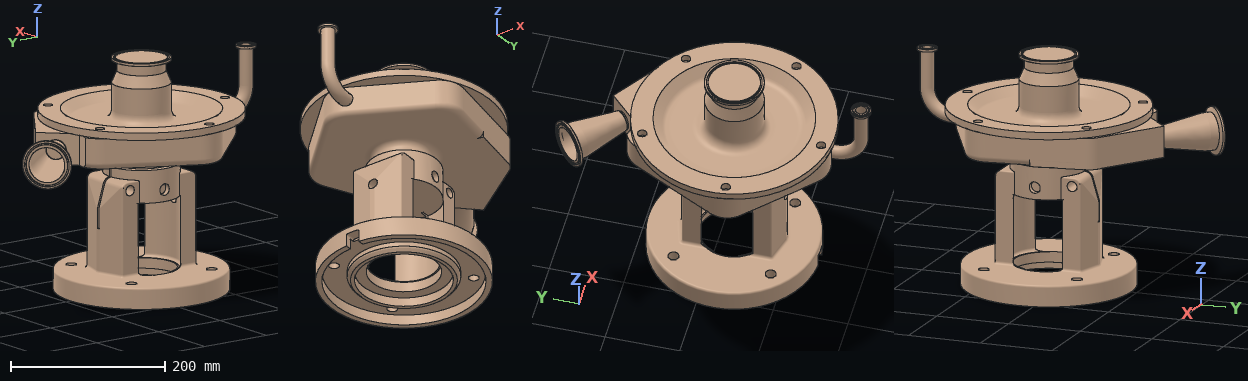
import cadquery as cq
import math

overlap = 4.0
margin = 0.5

base_radius = 115.0
base_height = 29.0
base_edge_fillet = 3.5
base_bore_radius = 49.0
recess_radius = 106.5
recess_depth = 15.0
ring_inner_radius = 64.0
ring_outer_radius = 74.0
ring_bottom = 2.0
ring_bevel_middle = 5.8
ring_bevel_top = 8.2
ring_bevel_middle_radius = 72.8
ring_bottom_radius = 69.5
base_hole_circle = 92.0
base_hole_diameter = 14.0
base_hole_count = 4
first_base_hole_angle = 45
slot_width = 19.7
slot_length = 16.5
slot_height = 18.0
slot_corner_fillet = 2.0

leg_half_width = 77.5 / 2
leg_top = 157.0
leg_bore_radius = 51.8
leg_nose_y = 70.3
leg_nose_half_width = 3.3
leg_nose_top = 117.5
leg_taper = math.tan(math.radians(16.5))
leg_side_fillet = 2.5
leg_top_fillet = 11.5
leg_foot_fillet = 5.0
front_hole_diameter = 14.0
front_hole_z = 114.3

collar_radius = 50.5
collar_bottom = 126.0
collar_top = 170.0
set_screw_diameter = 15.2
set_screw_depth = 8.2
set_screw_z = 142.2
clamp_hole_diameter = 13.5
clamp_hole_y = 47.5
clamp_hole_z = 145.5
clamp_slit_width = 3.0
clamp_slit_bottom = 90.5

neck_radius = 41.5
neck_fillet = 10.0
casing_bottom = 189.0
casing_inradius = 115.5
casing_corner_radius = 35.0
casing_bottom_fillet = 8.5
casing_corner_shift = 12.5
plate_radius = 270.0 / 2
plate_bottom = 231.5
plate_top = 241.3
plate_hole_circle = 245.5 / 2
plate_hole_diameter = 12.0
first_corner_angle = 45
corner_count = 5

dish_radius = 105.5
dish_floor_radius = 83.0
dish_floor = 225.0
dish_wall_angle = 45
dish_wall_fillet = 14.5
inlet_radius = 39.0
inlet_root_fillet = 15.2
inlet_shoulder_bottom = 276.2
inlet_shoulder_top = 292.3
inlet_neck_radius = 32.0
inlet_flange_radius = 39.0
inlet_top = 310.0
flange_thickness = 3.3
flange_back_taper = 2.0
inlet_groove_radius = 34.0
groove_width = 2.0
groove_depth = 1.2

outlet_angle = 135
outlet_offset = 96.5
outlet_z = 209.2
block_face = 109.8
block_corner = (9.5, 165.0)
block_shoulder = (101.0, 99.5)
block_shoulder_fillet = 22.5
cutwater_tip = (-54.5, 131.0)
cutwater_root = (-31.2, 124.0)
outlet_neck_radius = 12.7
outlet_cone_start = 112.2
outlet_small_radius = 14.0
outlet_pipe_start = 177.0
outlet_pipe_radius = 25.0
outlet_end = 194.0
outlet_flange_radius = 32.0
outlet_wall = 1.5
outlet_groove_radius = 27.0

vent_y = -169.8
vent_top = 301.5
vent_radius = 9.5
vent_bore_radius = 7.0
vent_axis_z = 212.5
vent_bend_radius = 35.0
vent_flange_radius = 13.0
vent_groove_radius = 9.0
vent_embed_y = -127.5
vent_bore_end_y = -133.5


def polar(radius, angle):
    return (radius * math.cos(math.radians(angle)), radius * math.sin(math.radians(angle)))


def cylinder(radius, bottom, top):
    return cq.Workplane("XY").workplane(offset=bottom).circle(radius).extrude(top - bottom)


def revolve_about_z(points):
    return cq.Workplane("XZ").polyline(points).close().revolve(360, (0, 0), (0, 1))


def ring_groove(inner_radius, face):
    ring = cq.Workplane("XY").workplane(offset=face - groove_depth)
    return ring.circle(inner_radius + groove_width).circle(inner_radius).extrude(groove_depth)


def make_leg():
    """The +Y leg: tapered to a narrow nose toward both sides and toward the top."""
    side_y = leg_nose_y - leg_taper * (leg_half_width - leg_nose_half_width)
    top_y = leg_nose_y - leg_taper * (leg_top - leg_nose_top)
    foot = base_height - overlap
    plan = [
        (-leg_half_width, 0),
        (leg_half_width, 0),
        (leg_half_width, side_y),
        (leg_nose_half_width, leg_nose_y),
        (-leg_nose_half_width, leg_nose_y),
        (-leg_half_width, side_y),
    ]
    profile = [(0, foot), (leg_nose_y, foot), (leg_nose_y, leg_nose_top), (top_y, leg_top), (0, leg_top)]
    leg = cq.Workplane("XY").workplane(offset=foot).polyline(plan).close().extrude(leg_top - foot)
    sloped = cq.Workplane("YZ").polyline(profile).close().extrude(leg_half_width, both=True)
    leg = leg.intersect(sloped)
    leg = leg.edges(cq.selectors.NearestToPointSelector((0, top_y, leg_top))).fillet(leg_top_fillet)
    for side in (-1, 1):
        corner = (side * leg_half_width, side_y, (foot + leg_nose_top) / 2)
        leg = leg.edges(cq.selectors.NearestToPointSelector(corner)).fillet(leg_side_fillet)
    reach = leg_half_width + margin
    top_sides = cq.selectors.BoxSelector(
        (-reach, 0, leg_top - margin), (reach, leg_nose_y, leg_top + margin), boundingbox=True
    )
    leg = leg.edges(top_sides).edges("|Y").fillet(leg_side_fillet)
    return leg.cut(cylinder(leg_bore_radius, 0, collar_bottom))


def make_bracket():
    base = cylinder(base_radius, 0, base_height).faces(">Z").edges().fillet(base_edge_fillet)
    leg = make_leg()
    bracket = base.union(leg).union(leg.mirror("XZ"))
    reach = leg_nose_y + 2 * leg_foot_fillet
    foot_box = cq.selectors.BoxSelector(
        (-reach, -reach, base_height - margin), (reach, reach, base_height + margin), boundingbox=True
    )
    bracket = bracket.edges(foot_box).fillet(leg_foot_fillet)
    return bracket.union(cylinder(collar_radius, collar_bottom, collar_top))


def cut_base(body):
    """Centre bore, bottom recess around a bevelled ring, four bolt holes and the slot through the rim."""
    body = body.cut(cylinder(base_bore_radius, 0, base_height))
    ring = revolve_about_z(
        [
            (ring_inner_radius, ring_bottom),
            (ring_bottom_radius, ring_bottom),
            (ring_bevel_middle_radius, ring_bevel_middle),
            (ring_outer_radius, ring_bevel_top),
            (ring_outer_radius, recess_depth),
            (ring_inner_radius, recess_depth),
        ]
    )
    body = body.cut(cylinder(recess_radius, 0, recess_depth).cut(ring))
    holes = cq.Workplane("XY").polarArray(base_hole_circle, first_base_hole_angle, 360, base_hole_count)
    body = body.cut(holes.circle(base_hole_diameter / 2).extrude(base_height))
    slot = cq.Workplane("XY").box(slot_width, slot_length, slot_height, centered=(True, False, False))
    slot = slot.edges("|Y and >Z").fillet(slot_corner_fillet)
    return body.cut(slot.translate((0, -base_radius, 0)))


def cut_clamp(body):
    """Nose hole in the -Y leg, clamp hole and slit in the +Y leg, set screws in the collar."""
    nose_hole = cq.Workplane("XZ").center(0, front_hole_z).circle(front_hole_diameter / 2)
    body = body.cut(nose_hole.extrude(leg_nose_y))
    clamp_hole = cq.Workplane("YZ").center(clamp_hole_y, clamp_hole_z).circle(clamp_hole_diameter / 2)
    body = body.cut(clamp_hole.extrude(leg_half_width, both=True))
    slit_length = leg_nose_y - neck_radius
    slit_height = collar_top - clamp_slit_bottom
    slit = cq.Workplane("XY").box(clamp_slit_width, slit_length, slit_height, centered=(True, False, False))
    body = body.cut(slit.translate((0, neck_radius, clamp_slit_bottom)))
    for side in (-1, 1):
        screw = cq.Workplane("YZ").workplane(offset=side * collar_radius).center(0, set_screw_z)
        body = body.cut(screw.circle(set_screw_diameter / 2).extrude(-side * set_screw_depth))
    return body


def make_casing():
    vertex_radius = casing_inradius / math.cos(math.pi / corner_count)
    step = 360 / corner_count
    vertices = [polar(vertex_radius, first_corner_angle + step * i) for i in range(corner_count)]
    shift = polar(casing_corner_shift, first_corner_angle + 1.5 * step - 90)
    vertices[1] = (vertices[1][0] + shift[0], vertices[1][1] + shift[1])
    casing = cq.Workplane("XY").workplane(offset=casing_bottom).polyline(vertices).close()
    casing = casing.extrude(plate_bottom - casing_bottom)
    casing = casing.edges("|Z").fillet(casing_corner_radius)
    return casing.faces("<Z").edges().fillet(casing_bottom_fillet)


def make_block(casing):
    """Adds the straight-walled discharge block and the notch of its cutwater."""
    height = plate_bottom - casing_bottom
    notch_corner = (cutwater_tip[0], block_corner[1])
    notch = [cutwater_tip, cutwater_root, block_corner, notch_corner]
    plane = cq.Workplane("XY").workplane(offset=casing_bottom)
    casing = casing.cut(plane.polyline(notch).close().extrude(height))
    last_corner = polar(casing_inradius, first_corner_angle - 180 / corner_count)
    block = plane.polyline([cutwater_root, (0, 0), last_corner, block_shoulder, block_corner]).close()
    block = block.extrude(height)
    shoulder = (*block_shoulder, casing_bottom + height / 2)
    block = block.edges(cq.selectors.NearestToPointSelector(shoulder)).fillet(block_shoulder_fillet)
    return casing.union(block)


def make_neck():
    flare = neck_radius + neck_fillet
    outline = cq.Workplane("XZ").moveTo(0, collar_top).lineTo(neck_radius, collar_top)
    outline = outline.lineTo(neck_radius, casing_bottom - neck_fillet)
    outline = outline.radiusArc((flare, casing_bottom), neck_fillet)
    outline = outline.lineTo(flare, casing_bottom + overlap).lineTo(0, casing_bottom + overlap).close()
    return outline.revolve(360, (0, 0), (0, 1))


def cut_plate(body):
    """Dish with a sloping wall rounded into its floor, and the five bolt holes."""
    slope = math.radians(dish_wall_angle)
    wall_end = dish_floor + dish_wall_fillet * (1 - math.cos(slope))
    wall_end_radius = dish_floor_radius + dish_wall_fillet * math.sin(slope)
    root_radius = inlet_radius + inlet_root_fillet
    dish = cq.Workplane("XZ").moveTo(dish_radius, plate_top).lineTo(wall_end_radius, wall_end)
    dish = dish.radiusArc((dish_floor_radius, dish_floor), dish_wall_fillet)
    dish = dish.lineTo(root_radius, dish_floor)
    dish = dish.radiusArc((inlet_radius, dish_floor + inlet_root_fillet), inlet_root_fillet)
    dish = dish.lineTo(inlet_radius, plate_top).close()
    body = body.cut(dish.revolve(360, (0, 0), (0, 1)))
    holes = cq.Workplane("XY").workplane(offset=plate_bottom)
    holes = holes.polarArray(plate_hole_circle, first_corner_angle, 360, corner_count)
    return body.cut(holes.circle(plate_hole_diameter / 2).extrude(plate_top - plate_bottom))


def make_inlet():
    flange_back = inlet_top - flange_thickness
    inlet = revolve_about_z(
        [
            (0, plate_bottom),
            (inlet_radius, plate_bottom),
            (inlet_radius, inlet_shoulder_bottom),
            (inlet_neck_radius, inlet_shoulder_top),
            (inlet_neck_radius, flange_back - flange_back_taper),
            (inlet_flange_radius, flange_back),
            (inlet_flange_radius, inlet_top),
            (0, inlet_top),
        ]
    )
    return inlet.cut(ring_groove(inlet_groove_radius, inlet_top))


def place_on_outlet(shape):
    """Turns a shape built along Z so that it lies along the outlet axis."""
    shift = polar(outlet_offset, outlet_angle - 90)
    shape = shape.rotate((0, 0, 0), (0, 1, 0), 90).rotate((0, 0, 0), (0, 0, 1), outlet_angle)
    return shape.translate((*shift, outlet_z))


def make_outlet():
    flange_back = outlet_end - flange_thickness
    outlet = revolve_about_z(
        [
            (0, block_face - overlap),
            (outlet_neck_radius, block_face - overlap),
            (outlet_neck_radius, outlet_cone_start),
            (outlet_small_radius, outlet_cone_start),
            (outlet_pipe_radius, outlet_pipe_start),
            (outlet_pipe_radius, flange_back - flange_back_taper),
            (outlet_flange_radius, flange_back),
            (outlet_flange_radius, outlet_end),
            (0, outlet_end),
        ]
    )
    bore = revolve_about_z(
        [
            (0, outlet_cone_start),
            (outlet_small_radius - outlet_wall, outlet_cone_start),
            (outlet_pipe_radius - outlet_wall, outlet_pipe_start),
            (outlet_pipe_radius - outlet_wall, outlet_end),
            (0, outlet_end),
        ]
    )
    return place_on_outlet(outlet.cut(bore).cut(ring_groove(outlet_groove_radius, outlet_end)))


def vent_run(radius, inner_y):
    """A round bar along the vent axis, from its top down and around the bend to inner_y."""
    bend_top = vent_axis_z + vent_bend_radius
    bend_end = vent_y + vent_bend_radius
    path = cq.Workplane("YZ").moveTo(vent_y, vent_top).lineTo(vent_y, bend_top)
    path = path.radiusArc((bend_end, vent_axis_z), -vent_bend_radius).lineTo(inner_y, vent_axis_z)
    return cq.Workplane("XY", origin=(0, vent_y, vent_top)).circle(radius).sweep(path)


def make_vent():
    flange = cylinder(vent_flange_radius, vent_top - flange_thickness, vent_top)
    flange = flange.cut(ring_groove(vent_groove_radius, vent_top)).translate((0, vent_y, 0))
    bar = vent_run(vent_radius, vent_embed_y)
    return bar.union(flange).cut(vent_run(vent_bore_radius, vent_bore_end_y))


pump = make_block(make_casing()).union(cylinder(plate_radius, plate_bottom, plate_top)).union(make_inlet())
pump = cut_plate(pump).union(make_neck()).union(make_outlet()).union(make_vent())
bracket = cut_clamp(cut_base(make_bracket()))
result = pump.union(bracket)